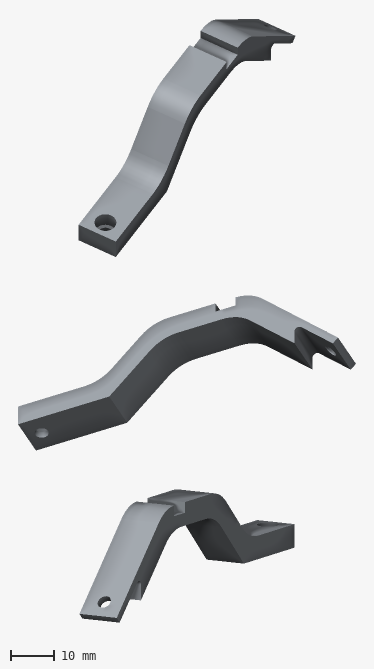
import cadquery as cq
import math

width = 10.0
length = 81.0
height = 23.4

rise = 18.8
thickness = 5.5
rear_arm_thickness = 6.15
bend_radius = 10.0
foot_heel_y = 23.1

tab_thickness = 1.9
tab_wall_y = 70.0
tab_root_radius = 1.0

notch_start_y = 50.0
notch_width = 5.0
notch_depth = 2.5

hole_diameter = 3.2
counterbore_diameter = 5.0
counterbore_depth = 3.7
foot_hole_y = 3.7
tab_hole_from_end = 4.0

slope = math.sqrt(2)
plateau_under = rise - thickness
tab_tip_z = rise - height
tab_step = tab_thickness / slope
tab_end_z = tab_tip_z + tab_step

front_under = foot_heel_y
front_top = front_under - thickness * slope
rear_top = length + tab_end_z
rear_under = rear_top - rear_arm_thickness * slope
tab_under = rear_top - tab_thickness * slope


def make_bar():
    """Extrude the sharp side outline across the width, then round the bends."""
    outline = [
        (0, 0),
        (foot_heel_y, 0),
        (front_under + plateau_under, plateau_under),
        (rear_under - plateau_under, plateau_under),
        (tab_wall_y, rear_under - tab_wall_y),
        (tab_wall_y, tab_under - tab_wall_y),
        (length - tab_step, tab_tip_z),
        (length, tab_end_z),
        (rear_top - rise, rise),
        (front_top + rise, rise),
        (front_top + thickness, thickness),
        (0, thickness),
    ]
    bar = cq.Workplane("YZ").polyline(outline).close().extrude(width / 2, both=True)
    bends = [outline[2], outline[3], outline[8], outline[9], outline[10]]
    for y, z in bends:
        bar = bar.edges(cq.selectors.NearestToPointSelector((0, y, z))).fillet(bend_radius)
    root_y, root_z = outline[5]
    root = cq.selectors.NearestToPointSelector((0, root_y, root_z))
    return bar.edges(root).fillet(tab_root_radius)


def make_notch():
    """Rectangular slot running across the full width of the plateau."""
    notch = cq.Workplane("XY").box(width, notch_width, notch_depth, centered=(True, False, False))
    return notch.translate((0, notch_start_y, rise - notch_depth))


def make_foot_hole():
    """Through hole with a counterbore sunk from the top of the foot."""
    hole = cq.Workplane("XY").center(0, foot_hole_y).circle(hole_diameter / 2).extrude(thickness)
    counterbore = (
        cq.Workplane("XY", origin=(0, foot_hole_y, thickness))
        .circle(counterbore_diameter / 2)
        .extrude(-counterbore_depth)
    )
    return hole.union(counterbore)


def make_tab_hole():
    """Hole square to the sloping tab."""
    inset = tab_hole_from_end / slope
    tab_face = cq.Plane(
        origin=(0, length - inset, tab_end_z + inset), xDir=(1, 0, 0), normal=(0, 1, 1)
    )
    return cq.Workplane(tab_face).circle(hole_diameter / 2).extrude(tab_thickness, both=True)


result = make_bar().cut(make_notch()).cut(make_foot_hole()).cut(make_tab_hole())